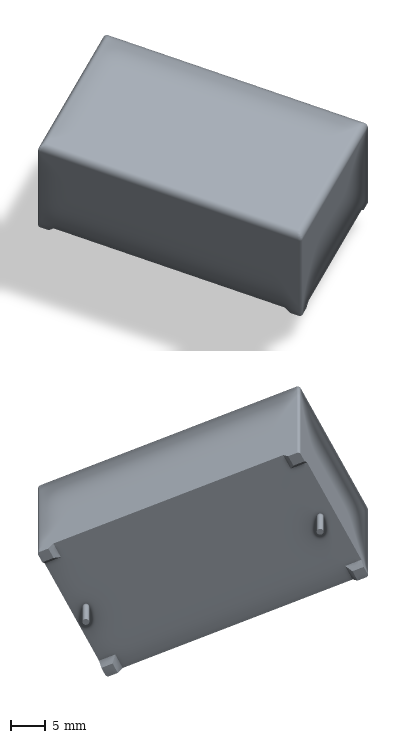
import cadquery as cq

length = 42.0
width = 24.0
total_height = 21.2

pin_length = 4.0
case_height = total_height - pin_length
corner_radius = 0.4
top_radius = 1.0

foot_height = 0.8
foot_top_side = 2.6
foot_slope_angle = 45

pin_diameter = 1.0
pin_spacing = 37.5


def rounded_block(height):
    """Block on the XY plane with the case outline and rounded upright edges."""
    block = cq.Workplane("XY").box(length, width, height, centered=(True, True, False))
    return block.edges("|Z").fillet(corner_radius)


def make_case():
    """Rounded block with a larger rounding around the top."""
    return rounded_block(case_height).faces(">Z").edges().fillet(top_radius)


def make_foot(side_x, side_y):
    """Foot under the corner of the case on the given side (-1 or 1) of each axis."""
    frustum = (
        cq.Workplane("XY")
        .center(side_x * length / 2, side_y * width / 2)
        .rect(2 * foot_top_side, 2 * foot_top_side)
        .extrude(-foot_height, taper=foot_slope_angle)
    )
    return frustum.intersect(rounded_block(foot_height).translate((0, 0, -foot_height)))


def make_pin(side_x):
    """Round pin hanging from the case base on the given side of the X axis."""
    pin = cq.Workplane("XY").circle(pin_diameter / 2).extrude(-pin_length)
    return pin.translate((side_x * pin_spacing / 2, 0, 0))


case = make_case()
feet = [make_foot(side_x, side_y) for side_x in (-1, 1) for side_y in (-1, 1)]
pins = [make_pin(side_x) for side_x in (-1, 1)]

bodies = [case, *feet, *pins]
result = cq.Compound.makeCompound([body.solids().val() for body in bodies])